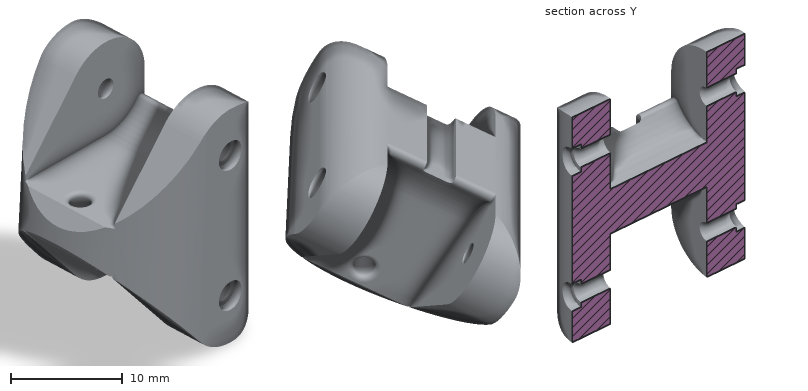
import cadquery as cq
import math

WIDTH = 20.0
LUG_RADIUS = 5.0
PIN_OFFSET = 7.5
FLANK_ANGLE = 40.0
BACK_CORNER_RADIUS = 4.5

NOSE_START = -3.53
NOSE_DEPTH = 8.5
NOSE_LEAN = 0.043
BOTTOM_FULLNESS = 0.552
TOP_FULLNESS = 0.49

CHANNEL_WIDTH = 11.1
CHANNEL_RADIUS = 5.0
LIP_RADIUS = 0.5

HOLE_DIAMETER = 2.0
COUNTERBORE_DIAMETER = 3.0
COUNTERBORE_DEPTH = 1.0
WEB_HOLE_Y = -9.0
WEB_HOLE_ROUNDING = 0.5
GROOVE_WIDTH = 3.0
GROOVE_DEPTH = 1.0
GROOVE_FILLET = 0.5

HALF_WIDTH = WIDTH / 2
HALF_HEIGHT = PIN_OFFSET + LUG_RADIUS
BACK_Y = LUG_RADIUS
WEB_HALF = PIN_OFFSET - CHANNEL_RADIUS
CLEARANCE = 5.0


def on_circle(radius, center_y, center_z, degrees):
    """Point on a circle in the YZ plane, angle measured from +Y toward +Z."""
    angle = math.radians(degrees)
    return center_y + radius * math.cos(angle), center_z + radius * math.sin(angle)


def side_profile():
    """Two round ends joined by a flat back and two flanks meeting in a point."""
    tangent_angle = 180 - FLANK_ANGLE
    arc_middle = tangent_angle / 2
    middle_y, middle_z = on_circle(LUG_RADIUS, 0, PIN_OFFSET, arc_middle)
    tangent_y, tangent_z = on_circle(LUG_RADIUS, 0, PIN_OFFSET, tangent_angle)
    flank = math.radians(FLANK_ANGLE)
    tip_y = -(LUG_RADIUS + PIN_OFFSET * math.sin(flank)) / math.cos(flank)
    return (
        cq.Workplane("YZ", origin=(-HALF_WIDTH, 0, 0))
        .moveTo(BACK_Y, -PIN_OFFSET)
        .lineTo(BACK_Y, PIN_OFFSET)
        .threePointArc((middle_y, middle_z), (tangent_y, tangent_z))
        .lineTo(tip_y, 0)
        .lineTo(tangent_y, -tangent_z)
        .threePointArc((middle_y, -middle_z), (BACK_Y, -PIN_OFFSET))
        .close()
        .extrude(WIDTH)
    )


def plan_outline(z, fullness):
    """Closed plan section at height z: round back corners and a curved nose."""
    nose_y = NOSE_START + NOSE_LEAN * z
    corner_x = HALF_WIDTH - BACK_CORNER_RADIUS
    corner_y = BACK_Y - BACK_CORNER_RADIUS
    arc_reach = BACK_CORNER_RADIUS * math.sqrt(0.5)
    front_y = nose_y - NOSE_DEPTH
    handle_x = HALF_WIDTH * fullness
    handle_y = nose_y - NOSE_DEPTH * fullness
    outline = (
        cq.Workplane("XY", origin=(0, 0, z))
        .moveTo(HALF_WIDTH, nose_y)
        .lineTo(HALF_WIDTH, corner_y)
        .threePointArc((corner_x + arc_reach, corner_y + arc_reach), (corner_x, BACK_Y))
        .lineTo(-corner_x, BACK_Y)
        .threePointArc((-corner_x - arc_reach, corner_y + arc_reach), (-HALF_WIDTH, corner_y))
        .lineTo(-HALF_WIDTH, nose_y)
        .bezier([(-HALF_WIDTH, nose_y), (-HALF_WIDTH, handle_y), (-handle_x, front_y), (0, front_y)])
        .bezier([(0, front_y), (handle_x, front_y), (HALF_WIDTH, handle_y), (HALF_WIDTH, nose_y)])
        .close()
    )
    return outline.val()


def make_body():
    bottom = plan_outline(-HALF_HEIGHT, BOTTOM_FULLNESS)
    top = plan_outline(HALF_HEIGHT, TOP_FULLNESS)
    plan = cq.Solid.makeLoft([bottom, top], True)
    return side_profile().intersect(cq.Workplane(obj=plan))


def upper_channel():
    """Cutter between the upper lugs: flat floor, arc about the pin axis, rounded lip."""
    lip_y = BACK_Y - LIP_RADIUS
    center_distance = CHANNEL_RADIUS + LIP_RADIUS
    lip_z = PIN_OFFSET - math.sqrt(center_distance**2 - lip_y**2)
    contact_angle = math.degrees(math.atan2(lip_z - PIN_OFFSET, lip_y))
    contact = on_circle(CHANNEL_RADIUS, 0, PIN_OFFSET, contact_angle)
    arc_middle = on_circle(CHANNEL_RADIUS, 0, PIN_OFFSET, (contact_angle - 90) / 2)
    lip_middle = on_circle(LIP_RADIUS, lip_y, lip_z, (contact_angle + 180) / 2)
    front_y = -HALF_WIDTH - CLEARANCE
    top_z = HALF_HEIGHT + CLEARANCE
    return (
        cq.Workplane("YZ", origin=(-CHANNEL_WIDTH / 2, 0, 0))
        .moveTo(front_y, WEB_HALF)
        .lineTo(0, WEB_HALF)
        .threePointArc(arc_middle, contact)
        .threePointArc(lip_middle, (BACK_Y, lip_z))
        .lineTo(BACK_Y + CLEARANCE, lip_z)
        .lineTo(BACK_Y + CLEARANCE, top_z)
        .lineTo(front_y, top_z)
        .close()
        .extrude(CHANNEL_WIDTH)
    )


def pin_hole(z):
    """Pin hole through both lugs, counterbored on each outer side."""
    axis = cq.Workplane("YZ", origin=(-HALF_WIDTH, 0, z))
    hole = axis.circle(HOLE_DIAMETER / 2).extrude(WIDTH)
    for start_x in (-HALF_WIDTH, HALF_WIDTH - COUNTERBORE_DEPTH):
        bore = cq.Workplane("YZ", origin=(start_x, 0, z))
        hole = hole.union(bore.circle(COUNTERBORE_DIAMETER / 2).extrude(COUNTERBORE_DEPTH))
    return hole


def web_hole():
    """Vertical hole through the web, its rims rounded outward at both ends."""
    radius = HOLE_DIAMETER / 2
    rim_radius = radius + WEB_HOLE_ROUNDING
    round_start = WEB_HALF - WEB_HOLE_ROUNDING
    bulge = WEB_HOLE_ROUNDING * (1 - math.sqrt(0.5))
    return (
        cq.Workplane("XZ", origin=(0, WEB_HOLE_Y, 0))
        .moveTo(0, -WEB_HALF)
        .lineTo(rim_radius, -WEB_HALF)
        .threePointArc((radius + bulge, bulge - WEB_HALF), (radius, -round_start))
        .lineTo(radius, round_start)
        .threePointArc((radius + bulge, WEB_HALF - bulge), (rim_radius, WEB_HALF))
        .lineTo(0, WEB_HALF)
        .close()
        .revolve(360, (0, 0), (0, 1))
    )


def back_groove():
    """Vertical groove down the middle of the back, with rounded bottom corners."""
    return (
        cq.Workplane("XY")
        .box(GROOVE_WIDTH, 2 * GROOVE_DEPTH, 2 * HALF_HEIGHT)
        .edges("|Z and <Y")
        .fillet(GROOVE_FILLET)
        .translate((0, BACK_Y, 0))
    )


channel = upper_channel()
part = make_body().cut(channel).cut(channel.mirror("XY"))
for pin_z in (-PIN_OFFSET, PIN_OFFSET):
    part = part.cut(pin_hole(pin_z))
result = part.cut(web_hole()).cut(back_groove())